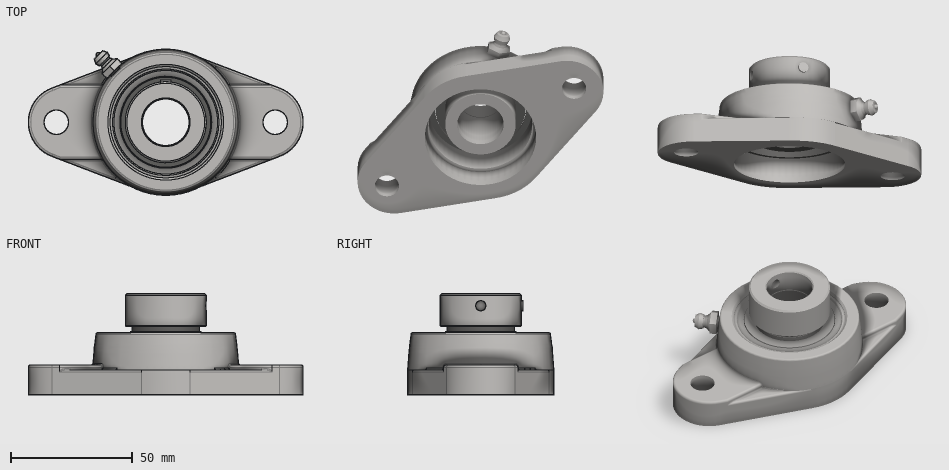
import cadquery as cq
import math

length = 113.0
boss_radius = 30.1
flank_angle = 20.9
end_radius = 15.0
waist_half = 10.0
web_height = 10.3
pad_height = 12.3
pad_half = 15.3
pad_fillet = 1.0
web_fillet = 0.9
root_fillet = 0.7
flare_middle = 38.0
flare_span = 20.0
bolt_hole_diameter = 10.0
bolt_spacing = 90.0

boss_top = 25.5
boss_top_radius = 28.6
boss_bulge_radius = 29.5
boss_fillet = 0.8

seat_diameter = 45.8
seat_chamfer = 0.9
ring_top = 24.4
ring_bottom = 10.4
outer_ring_bore = 42.6
outer_ring_chamfer = 0.6
shield_bore = 37.6
shield_thickness = 1.1
shield_top = 23.8
shaft_diameter = 19.1
slinger_diameter = 37.2
slinger_thickness = 1.1
slinger_top = 24.2
shoulder_diameter = 28.9
shoulder_top = 26.0
neck_diameter = 27.9
neck_top = 32.1
bore_chamfer = 0.5

collar_diameter = 33.3
collar_bottom = 28.0
collar_top = 41.6
collar_top_chamfer = 0.7
collar_bottom_chamfer = 0.5
screw_diameter = 4.2
screw_height = 36.6
screw_inner_end = 13.0
screw_outer_end = 17.4
drift_hole_diameter = 4.2
drift_hole_depth = 3.4

nipple_height = 19.2
nipple_direction = cq.Vector(-1, 1, 0)
stem_diameter = 5.0
stem_start = 24.9
hex_start = 29.8
hex_end = 32.5
hex_sides = 6
hex_flats = 8.8
cone_end = 33.9
cone_tip_radius = 2.9
nipple_neck_start = 34.9
head_start = 35.6
head_base_radius = 2.9
head_widest = 37.3
head_radius = 3.4
head_end = 39.1
ball_diameter = 2.0


def ring(outer_diameter, inner_diameter, bottom, top):
    return (
        cq.Workplane("XY", origin=(0, 0, bottom))
        .circle(outer_diameter / 2)
        .circle(inner_diameter / 2)
        .extrude(top - bottom)
    )


def cylinder(diameter, bottom, top):
    return cq.Workplane("XY", origin=(0, 0, bottom)).circle(diameter / 2).extrude(top - bottom)


def flange_outline(height):
    """Two rounded ends joined by straight flanks and a shallow arc on each side."""
    angle = math.radians(flank_angle)
    end_x = length / 2 - end_radius + end_radius * math.sin(angle)
    end_y = end_radius * math.cos(angle)
    waist_y = end_y + (end_x - waist_half) * math.tan(angle)
    return (
        cq.Workplane("XY")
        .moveTo(end_x, -end_y)
        .threePointArc((length / 2, 0), (end_x, end_y))
        .lineTo(waist_half, waist_y)
        .threePointArc((0, boss_radius), (-waist_half, waist_y))
        .lineTo(-end_x, end_y)
        .threePointArc((-length / 2, 0), (-end_x, -end_y))
        .lineTo(-waist_half, -waist_y)
        .threePointArc((0, -boss_radius), (waist_half, -waist_y))
        .close()
        .extrude(height)
    )


def flange():
    webs = flange_outline(web_height).faces(">Z").edges("%LINE").fillet(web_fillet)
    pad_strip = cq.Workplane("XY").rect(length, 2 * pad_half).extrude(pad_height)
    pads = flange_outline(pad_height).intersect(pad_strip).faces(">Z").edges().fillet(pad_fillet)
    waist_box = cq.Workplane("XY").rect(2 * waist_half, 2 * boss_radius).extrude(web_height)
    waist = flange_outline(web_height).intersect(waist_box)
    return webs.union(waist).union(pads)


def boss():
    middle = (web_height + boss_top) / 2
    side = (
        cq.Workplane("XZ")
        .moveTo(0, web_height)
        .lineTo(boss_radius, web_height)
        .threePointArc((boss_bulge_radius, middle), (boss_top_radius, boss_top))
        .lineTo(0, boss_top)
        .close()
    )
    return side.revolve().faces(">Z").edges().fillet(boss_fillet)


def root_fillets(body):
    """Round the foot of the pad walls and of the boss, in each of the four quadrants."""
    corner_x = math.sqrt(boss_radius**2 - pad_half**2)
    wall_middle_x = corner_x + pad_half / 2
    step_height = (web_height + pad_height - pad_fillet) / 2
    edges = []
    for side_x in (-1, 1):
        for side_y in (-1, 1):
            wall_foot = (side_x * wall_middle_x, side_y * pad_half, web_height)
            wall_corner = (side_x * corner_x, side_y * pad_half, step_height)
            for point in (wall_foot, wall_corner):
                edges += body.edges(cq.selectors.NearestToPointSelector(point)).vals()
    body = body.newObject(edges).fillet(root_fillet)
    for middle_angle in (flare_middle, 180 - flare_middle, 180 + flare_middle, -flare_middle):
        body = body.union(boss_flare(middle_angle))
    return body


def boss_flare(middle_angle):
    """Concave rounding between the boss and a web, along the stretch that lies on the web."""
    outer = boss_radius + root_fillet
    dip = root_fillet * (1 - math.sqrt(0.5))
    flare = (
        cq.Workplane("XZ")
        .moveTo(boss_radius - root_fillet, web_height)
        .lineTo(outer, web_height)
        .threePointArc((boss_radius + dip, web_height + dip), (boss_radius, web_height + root_fillet))
        .lineTo(boss_radius - root_fillet, web_height + root_fillet)
        .close()
        .revolve(flare_span, (0, 0), (0, 1))
    )
    return flare.rotate((0, 0, 0), (0, 0, 1), middle_angle - flare_span / 2)


def make_housing():
    body = root_fillets(flange().union(boss()))
    bolt_holes = (
        cq.Workplane("XY")
        .pushPoints([(-bolt_spacing / 2, 0), (bolt_spacing / 2, 0)])
        .circle(bolt_hole_diameter / 2)
        .extrude(pad_height)
    )
    body = body.cut(bolt_holes).cut(cylinder(seat_diameter, 0, boss_top))
    body = body.faces(">Z").edges(cq.selectors.RadiusNthSelector(0)).chamfer(seat_chamfer)
    return body.cut(nipple_stem())


def make_outer_ring():
    race = ring(seat_diameter, outer_ring_bore, ring_bottom, ring_top)
    return race.faces(">Z").edges(cq.selectors.RadiusNthSelector(0)).chamfer(outer_ring_chamfer)


def make_shield():
    return ring(outer_ring_bore, shield_bore, shield_top - shield_thickness, shield_top)


def make_inner_ring():
    body = cylinder(shoulder_diameter, ring_bottom, shoulder_top)
    body = body.union(cylinder(slinger_diameter, slinger_top - slinger_thickness, slinger_top))
    body = body.union(cylinder(neck_diameter, shoulder_top, neck_top))
    body = body.cut(cylinder(shaft_diameter, ring_bottom, neck_top))
    return body.faces(">Z").edges(cq.selectors.RadiusNthSelector(0)).chamfer(bore_chamfer)


def make_screw():
    return (
        cq.Workplane("XZ", origin=(0, screw_outer_end, screw_height))
        .circle(screw_diameter / 2)
        .extrude(screw_outer_end - screw_inner_end)
    )


def make_collar():
    body = cylinder(collar_diameter, collar_bottom, collar_top)
    body = body.faces(">Z").chamfer(collar_top_chamfer)
    body = body.faces("<Z").chamfer(collar_bottom_chamfer)
    body = body.cut(cylinder(shaft_diameter, collar_bottom, collar_top))
    body = body.faces(">Z").edges(cq.selectors.RadiusNthSelector(0)).chamfer(bore_chamfer)
    body = body.cut(cylinder(neck_diameter, collar_bottom, neck_top))
    screw_hole = (
        cq.Workplane("XZ", origin=(0, collar_diameter / 2, screw_height))
        .circle(screw_diameter / 2)
        .extrude(collar_diameter / 2)
    )
    drift_hole = (
        cq.Workplane("YZ", origin=(collar_diameter / 2, 0, screw_height))
        .circle(drift_hole_diameter / 2)
        .extrude(-drift_hole_depth)
    )
    return body.cut(screw_hole).cut(drift_hole)


def nipple_plane(distance):
    """Plane across the nipple axis at a distance from the bearing axis, local X up."""
    place = nipple_direction.normalized() * distance + cq.Vector(0, 0, nipple_height)
    return cq.Workplane(cq.Plane(place, xDir=(0, 0, 1), normal=nipple_direction))


def nipple_stem():
    return nipple_plane(stem_start).circle(stem_diameter / 2).extrude(hex_start - stem_start)


def make_nipple():
    hex_corners = hex_flats / math.cos(math.pi / hex_sides)
    hexagon = nipple_plane(hex_start).polygon(hex_sides, hex_corners).extrude(hex_end - hex_start)
    stem_radius = stem_diameter / 2
    profile_plane = cq.Plane((0, 0, nipple_height), xDir=(0, 0, 1), normal=(-1, -1, 0))
    half_profile = (
        cq.Workplane(profile_plane)
        .polyline([
            (0, hex_end),
            (hex_flats / 2, hex_end),
            (cone_tip_radius, cone_end),
            (stem_radius, nipple_neck_start),
            (stem_radius, head_start),
            (head_base_radius, head_start),
            (head_radius, head_widest),
            (stem_radius, head_end),
            (0, head_end),
        ])
        .close()
    )
    head = half_profile.revolve(360, (0, 0), (0, 1))
    ball = nipple_plane(head_end).sphere(ball_diameter / 2)
    return nipple_stem().union(hexagon).union(head).union(ball)


housing = make_housing()
outer_ring = make_outer_ring()
shield = make_shield()
inner_ring = make_inner_ring()
collar = make_collar()
screw = make_screw()
nipple = make_nipple()

result = cq.Compound.makeCompound([
    housing.val(),
    outer_ring.val(),
    shield.val(),
    inner_ring.val(),
    collar.val(),
    screw.val(),
    nipple.val(),
])